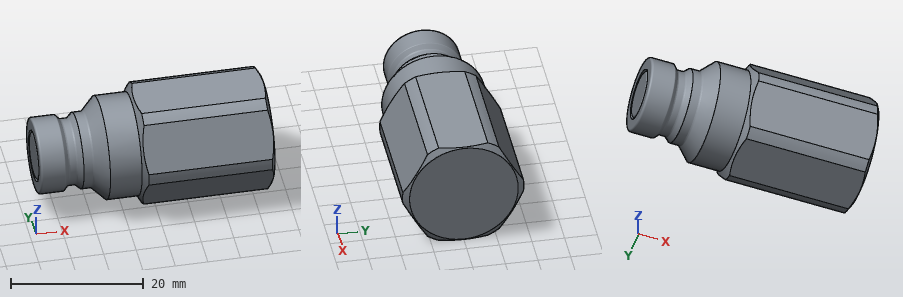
import cadquery as cq
import math

length = 35.4
across_flats = 17.0
across_corners = 18.6

nose_radius = 5.85
nose_edge_fillet = 0.35
groove_radius = 5.1
groove_fillet = 0.35
groove_lip_fillet = 0.18
groove_front_start = 3.8
groove_front_end = 4.5
groove_back_start = 5.75
groove_back_end = 6.55
collar_end = 8.1

body_radius = 7.93
shoulder_end = collar_end + (body_radius - nose_radius)
collar_fillet = 0.35
hex_start = 15.05
hex_chamfer_angle = math.radians(30)
hex_end_radius = 8.32

bore_radius = 3.9
valve_radius = 3.68
valve_edge_fillet = 0.42
gap_depth = 0.53


def make_turned_body():
    """Nose, groove, shoulder and round body, running inside the hexagon."""
    outline = [
        (0, 0),
        (0, nose_radius),
        (groove_front_start, nose_radius),
        (groove_front_end, groove_radius),
        (groove_back_start, groove_radius),
        (groove_back_end, nose_radius),
        (collar_end, nose_radius),
        (shoulder_end, body_radius),
        (length, body_radius),
        (length, 0),
    ]
    body = cq.Workplane("XY").polyline(outline).close().revolve(360, (0, 0, 0), (1, 0, 0))

    def circle_edge(x):
        tolerance = 0.005
        return cq.selectors.BoxSelector(
            (x - tolerance, -length, -length), (x + tolerance, length, length), boundingbox=True
        )

    body = body.edges(circle_edge(0)).fillet(nose_edge_fillet)
    body = body.edges(circle_edge(groove_front_start)).fillet(groove_lip_fillet)
    body = body.edges(circle_edge(groove_front_end)).fillet(groove_fillet)
    body = body.edges(circle_edge(groove_back_start)).fillet(groove_fillet)
    return body.edges(circle_edge(collar_end)).fillet(collar_fillet)


def make_hexagon():
    """Hexagon with flats facing +Z and -Z, rounded corners and chamfered ends."""
    sharp_corners = across_flats / math.cos(math.pi / 6)
    prism = (
        cq.Workplane("YZ", origin=(hex_start, 0, 0))
        .polygon(6, sharp_corners)
        .extrude(length - hex_start)
    )
    corner_radius = across_corners / 2
    front_chamfer = (corner_radius - body_radius) * math.tan(hex_chamfer_angle)
    back_chamfer = (corner_radius - hex_end_radius) * math.tan(hex_chamfer_angle)
    envelope = (
        cq.Workplane("XY")
        .polyline([
            (hex_start, 0),
            (hex_start, body_radius),
            (hex_start + front_chamfer, corner_radius),
            (length - back_chamfer, corner_radius),
            (length, hex_end_radius),
            (length, 0),
        ])
        .close()
        .revolve(360, (0, 0, 0), (1, 0, 0))
    )
    return prism.intersect(envelope)


def make_valve_gap():
    """Ring gap between the bore and the rounded edge of the valve face."""
    recess = cq.Workplane("YZ").circle(bore_radius).extrude(gap_depth)
    valve = cq.Workplane("YZ").circle(valve_radius).extrude(gap_depth)
    return recess.cut(valve.faces("<X").edges().fillet(valve_edge_fillet))


result = make_turned_body().union(make_hexagon()).cut(make_valve_gap())